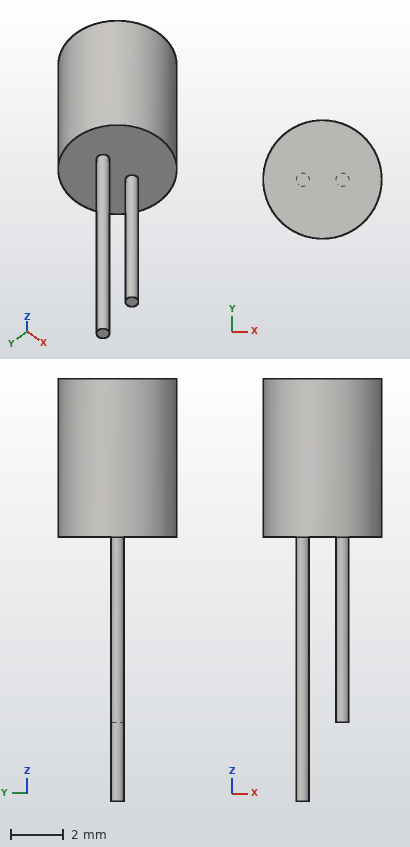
import cadquery as cq

total_height = 16.0
body_diameter = 4.5
body_height = 6.0
lead_diameter = 0.5
lead_spacing = 1.5
short_lead_length = 7.0

long_lead_length = total_height - body_height


def make_body():
    """Plain cylindrical body standing on the XY plane."""
    return cq.Workplane("XY").circle(body_diameter / 2).extrude(body_height)


def make_lead(x, length):
    """Round lead hanging from the flat underside of the body."""
    return cq.Workplane("XY").center(x, 0).circle(lead_diameter / 2).extrude(-length)


body = make_body()

leads = []
for side, length in ((-1, long_lead_length), (1, short_lead_length)):
    leads.append(make_lead(side * lead_spacing / 2, length))

result = cq.Compound.makeCompound([body.val(), *[lead.val() for lead in leads]])